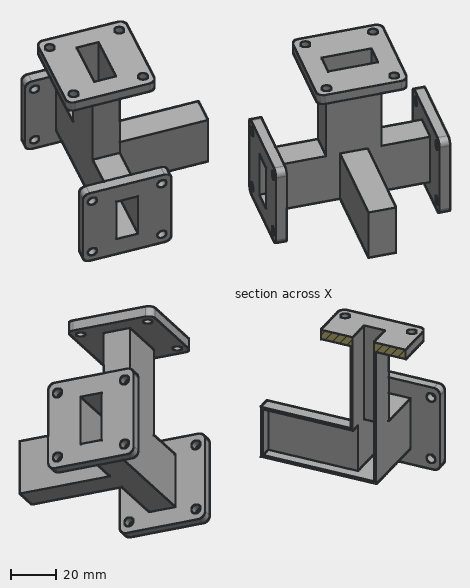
import cadquery as cq

bore_broad = 22.9
bore_narrow = 10.2
wall = 1.3
tube_broad = bore_broad + 2 * wall
tube_narrow = bore_narrow + 2 * wall

side_reach = 40.0
top_reach = 59.0
back_reach = 50.0

flange_side = 41.4
flange_thickness = 5.0
flange_corner_radius = 3.2
bolt_diameter = 4.2
bolt_pitch_broad = 31.0
bolt_pitch_narrow = 32.5


def bar(plane, broad, narrow, start, end):
    """Rectangular bar along the plane normal, broad along the plane's x."""
    return cq.Workplane(plane).workplane(offset=start).rect(broad, narrow).extrude(end - start)


def flange(plane, reach):
    """Drilled flange whose outer face lies at the given reach along the plane normal."""
    plate = bar(plane, flange_side, flange_side, reach - flange_thickness, reach)
    bolts = (
        cq.Workplane(plane)
        .workplane(offset=reach - flange_thickness)
        .rect(bolt_pitch_broad, bolt_pitch_narrow, forConstruction=True)
        .vertices()
        .circle(bolt_diameter / 2)
        .extrude(flange_thickness)
    )
    normal = cq.selectors.ParallelDirSelector(cq.Workplane(plane).plane.zDir)
    return plate.edges(normal).fillet(flange_corner_radius).cut(bolts)


through_plane = cq.Plane(origin=(0, 0, 0), xDir=(0, 0, 1), normal=(1, 0, 0))
left_plane = cq.Plane(origin=(0, 0, 0), xDir=(0, 0, 1), normal=(-1, 0, 0))
top_plane = cq.Plane(origin=(0, 0, 0), xDir=(1, 0, 0), normal=(0, 0, 1))
back_plane = cq.Plane(origin=(0, 0, 0), xDir=(0, 0, 1), normal=(0, 1, 0))

body = bar(through_plane, tube_broad, tube_narrow, -side_reach, side_reach)
body = body.union(bar(top_plane, tube_broad, tube_narrow, 0, top_reach))
body = body.union(bar(back_plane, tube_broad, tube_narrow, 0, back_reach - wall))

for plane, reach in ((through_plane, side_reach), (left_plane, side_reach), (top_plane, top_reach)):
    body = body.union(flange(plane, reach))

body = body.cut(bar(through_plane, bore_broad, bore_narrow, -side_reach, side_reach))
body = body.cut(bar(top_plane, bore_broad, bore_narrow, 0, top_reach))
body = body.cut(bar(back_plane, bore_broad, bore_narrow, 0, back_reach - wall))

end_plate = bar(back_plane, tube_broad, tube_narrow, back_reach - wall, back_reach)
result = body.union(end_plate)